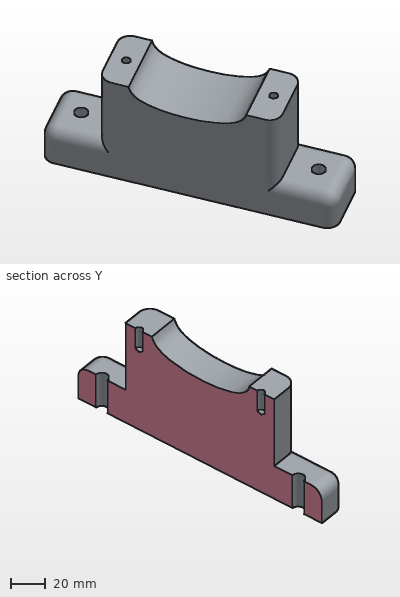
import cadquery as cq
import math

base_length = 180.0
width = 41.27
base_height = 25.0
total_height = 75.0
pedestal_length = 110.0
round_radius = 8.0

saddle_points = [
    (-36.4, 0),
    (-34.0, 5.1),
    (-23.7, 10.8),
    (-2.6, 13.6),
    (22.3, 10.6),
    (31.9, 5.7),
    (35.4, 0),
]

foot_hole_diameter = 8.3
foot_hole_spacing = 145.0

top_hole_diameter = 5.0
top_hole_spacing = 90.0
top_hole_depth = 15.0
drill_point_angle = 118.0


def make_base():
    """Foot plate with rounded upright corners and top edges, resting on Z = 0."""
    base = cq.Workplane("XY").box(base_length, width, base_height, centered=(True, True, False))
    return base.edges("|Z or >Z").fillet(round_radius)


def make_pedestal():
    """Central block with rounded upright corners, standing on Z = 0."""
    pedestal = cq.Workplane("XY").box(pedestal_length, width, total_height, centered=(True, True, False))
    return pedestal.edges("|Z").fillet(round_radius)


def make_saddle():
    """Trough removed from the top of the pedestal across its full width."""
    section = cq.Workplane("XZ", origin=(0, width / 2, total_height))
    curve_points = [(x, -depth) for x, depth in saddle_points]
    return section.spline(curve_points).close().extrude(width)


def make_foot_holes():
    """Pair of plain holes through the full thickness of the feet."""
    centers = [(-foot_hole_spacing / 2, 0), (foot_hole_spacing / 2, 0)]
    return cq.Workplane("XY").pushPoints(centers).circle(foot_hole_diameter / 2).extrude(base_height)


def make_top_hole(x):
    """Blind hole with a conical drill point, opening on the pedestal top at the given X."""
    radius = top_hole_diameter / 2
    point_length = radius / math.tan(math.radians(drill_point_angle / 2))
    shoulder_z = total_height - top_hole_depth
    profile = (
        cq.Workplane("XZ", origin=(x, 0, 0))
        .moveTo(0, total_height)
        .lineTo(radius, total_height)
        .lineTo(radius, shoulder_z)
        .lineTo(0, shoulder_z - point_length)
        .close()
    )
    return profile.revolve(360, (0, 0), (0, 1))


result = make_base().union(make_pedestal()).cut(make_saddle()).cut(make_foot_holes())
for side in (-1, 1):
    result = result.cut(make_top_hole(side * top_hole_spacing / 2))